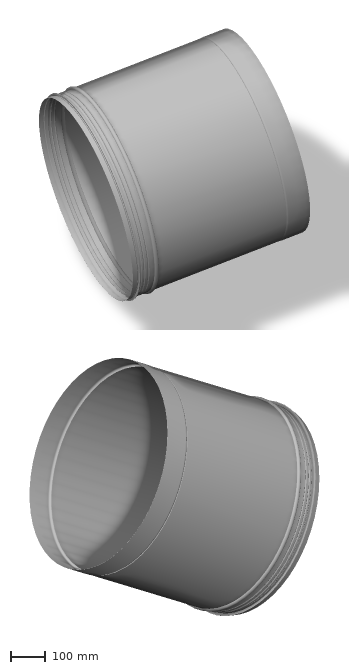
import cadquery as cq
import math

length = 570.0
sheet = 0.5
tube_radius = 631.6 / 2
socket_radius = tube_radius + 2 * sheet
recess_radius = 627.0 / 2
fin_tip_radius = 644.6 / 2
recess_depth = tube_radius - recess_radius

seat_start = 14.8
seat_end = 29.8

groove_half_width = 2.5
groove_centres = (37.7, 50.4)

bead_centre = 76.4
bead_half_width = 6.8
bead_height = 6.0

joint_y = 494.0
flange_inner_radius = 309.0
socket_bend_radius = 7.0

seal_base_thickness = 1.0
fin_centre = 19.8
fin_thickness = 1.0


def revolve_about_y(profile):
    """Close a profile and turn it into a ring around the Y axis."""
    return profile.close().revolve(360, (0, 0, 0), (0, 1, 0))


def tube_skin(inset):
    """Stations along the tube skin, from the spigot mouth up to the joint.

    Each station is (point, arc_middle); arc_middle is None where a straight line leads to the point.
    """
    skin = -(tube_radius - inset)
    recess = -(recess_radius - inset)
    crest = skin - bead_height
    stations = [
        ((skin, 0), None),
        ((skin, seat_start), None),
        ((recess, seat_start + recess_depth), None),
        ((recess, seat_end - recess_depth), None),
        ((skin, seat_end), None),
    ]
    for centre in groove_centres:
        stations += [
            ((skin, centre - groove_half_width), None),
            ((recess, centre), None),
            ((skin, centre + groove_half_width), None),
        ]
    half_width = bead_half_width - inset
    stations += [
        ((skin, bead_centre - half_width), None),
        ((skin, bead_centre + half_width), (crest, bead_centre)),
        ((skin, joint_y - inset), None),
        ((-flange_inner_radius, joint_y - inset), None),
    ]
    return stations


def make_tube():
    outer = tube_skin(0)
    inner = tube_skin(sheet)
    profile = cq.Workplane("XY").moveTo(*outer[0][0])
    for point, arc_middle in outer[1:]:
        profile = profile.threePointArc(arc_middle, point) if arc_middle else profile.lineTo(*point)
    profile = profile.lineTo(*inner[-1][0])
    for (_, arc_middle), (point, _) in zip(reversed(inner[1:]), reversed(inner[:-1])):
        profile = profile.threePointArc(arc_middle, point) if arc_middle else profile.lineTo(*point)
    return revolve_about_y(profile)


def make_socket():
    """Plain collar whose end bends inward to a flange against the tube flange."""
    inner_radius = socket_radius - sheet
    inner_bend_radius = socket_bend_radius - sheet
    bend_x = -(socket_radius - socket_bend_radius)
    bend_y = joint_y + socket_bend_radius
    diagonal = math.sqrt(0.5)
    profile = (
        cq.Workplane("XY")
        .moveTo(-flange_inner_radius, joint_y)
        .lineTo(bend_x, joint_y)
        .threePointArc(
            (bend_x - socket_bend_radius * diagonal, bend_y - socket_bend_radius * diagonal),
            (-socket_radius, bend_y),
        )
        .lineTo(-socket_radius, length)
        .lineTo(-inner_radius, length)
        .lineTo(-inner_radius, bend_y)
        .threePointArc(
            (bend_x - inner_bend_radius * diagonal, bend_y - inner_bend_radius * diagonal),
            (bend_x, joint_y + sheet),
        )
        .lineTo(-flange_inner_radius, joint_y + sheet)
    )
    return revolve_about_y(profile)


def make_seal():
    """Flat band filling the bottom of the seat, with one thin radial fin."""
    base_radius = recess_radius + seal_base_thickness
    band_start = seat_start + recess_depth
    band_end = seat_end - recess_depth
    fin_start = fin_centre - fin_thickness / 2
    fin_end = fin_centre + fin_thickness / 2
    profile = cq.Workplane("XY").polyline([
        (-recess_radius, band_start),
        (-recess_radius, band_end),
        (-base_radius, band_end),
        (-base_radius, fin_end),
        (-fin_tip_radius, fin_end),
        (-fin_tip_radius, fin_start),
        (-base_radius, fin_start),
        (-base_radius, band_start),
    ])
    return revolve_about_y(profile)


tube = make_tube()
socket = make_socket()
seal = make_seal()
result = cq.Compound.makeCompound([tube.val(), socket.val(), seal.val()])